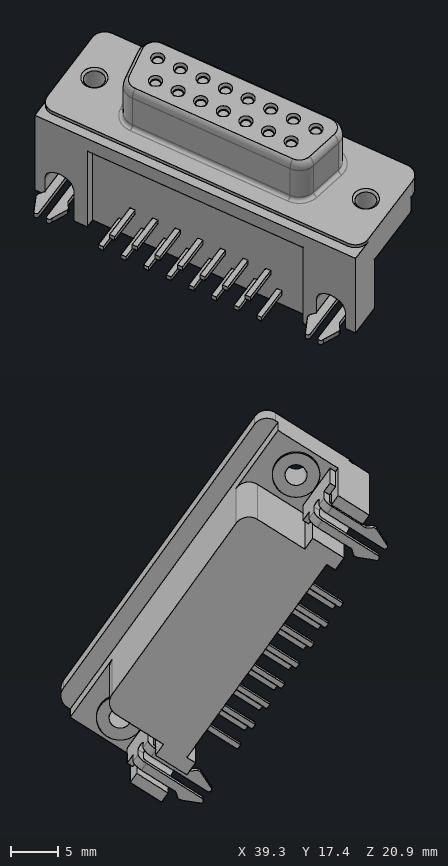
import cadquery as cq
import math


width = 39.3
flange_back = 13.6
flange_front = 1.05
flange_corner = 1.57
flange_thickness = 2.4
plate_step = 0.47
ledge_back = 11.67
ledge_bottom = -4.75
leg_depth = 4.0
leg_bottom = -12.75
body_bottom = -14.97
core_half_width = 13.35
core_corner = 1.65

recess_half_width = 13.2
recess_top = -2.5
recess_depth = 1.1

connector_y = (flange_front + flange_back) / 2
shell_height = 5.9
shell_depth = 7.9
shell_back_half_width = 12.7
shell_side_angle = 10.0
shell_corner = 1.95
shell_flare = 0.47
crown_radius = 1.3
crown_height = 1.05

back_contacts = 8
front_contacts = back_contacts - 1
back_row_span = 19.37
contact_pitch = back_row_span / (back_contacts - 1)
contact_row_gap = 2.83
contact_bore = 1.15
contact_mouth = 1.5
contact_mouth_depth = 0.4
contact_depth = 0.55

pin_size = 0.63
pin_reach = 3.2
upper_pin_z = -10.5
lower_pin_z = -12.95

mount_x = 16.62
mount_bore = 2.3
mount_chamfer = 0.28
boss_diameter = 5.05
boss_height = 0.35
leg_slot_radius = 1.75
leg_slot_center_z = -10.1
foot_half_width = mount_x - leg_slot_radius
sheet = 0.7
bend_inner_radius = 0.35
lock_bottom = -12.05
lock_half_width = 2.55
lock_shoulder_z = -9.1
tine_outer = 1.4
tine_inner = 0.47
barb_half_width = 1.93
barb_start = 0.65
barb_full_start = 1.35
barb_full_end = 1.65
tip_reach = 3.77
tip_half_thickness = 0.3


def block(x0, x1, y0, y1, z0, z1):
    """Axis-aligned box between two opposite corners."""
    return cq.Workplane("XY").box(x1 - x0, y1 - y0, z1 - z0, centered=False).translate((x0, y0, z0))


def row_positions(count):
    """X positions of one centred row of contacts."""
    return [(i - (count - 1) / 2) * contact_pitch for i in range(count)]


def make_housing():
    """Flange and ledge carrying the front wall, its two legs and the core behind it."""
    half = width / 2
    front = block(-half, half, 0, leg_depth, body_bottom, -plate_step)
    for x0, x1 in ((-half, -foot_half_width), (foot_half_width, half)):
        front = front.cut(block(x0, x1, 0, leg_depth, body_bottom, leg_bottom))
    ledge = block(-half, half, 0, ledge_back, ledge_bottom, -plate_step)
    core = (
        block(-core_half_width, core_half_width, 0, ledge_back, body_bottom, ledge_bottom)
        .edges("|Z and >Y")
        .fillet(core_corner)
    )
    flange = (
        block(-half, half, flange_front, flange_back, -flange_thickness, 0)
        .edges("|Z")
        .fillet(flange_corner)
    )
    recess = block(-recess_half_width, recess_half_width, 0, recess_depth, body_bottom, recess_top)
    return front.union(ledge).union(core).union(flange).cut(recess)


def make_shell():
    """D-shaped shell with a crown arc cut off by the flat top."""
    back = connector_y + shell_depth / 2
    front = connector_y - shell_depth / 2
    front_half_width = shell_back_half_width - shell_depth * math.tan(math.radians(shell_side_angle))
    full_crown = shell_height - crown_height + crown_radius
    shell = (
        cq.Workplane("XY")
        .polyline([
            (-shell_back_half_width, back),
            (shell_back_half_width, back),
            (front_half_width, front),
            (-front_half_width, front),
        ])
        .close()
        .extrude(full_crown)
        .edges("|Z")
        .fillet(shell_corner)
        .faces(">Z")
        .edges()
        .fillet(crown_radius)
    )
    half = width / 2
    return shell.cut(block(-half, half, 0, flange_back, shell_height, full_crown))


def add_flare(body):
    """Concave fillet where the shell meets the flange."""
    margin = shell_flare / 2
    root = cq.selectors.BoxSelector(
        (-shell_back_half_width, connector_y - shell_depth / 2 - margin, -margin),
        (shell_back_half_width, connector_y + shell_depth / 2 + margin, margin),
        boundingbox=True,
    )
    return body.edges(root).fillet(shell_flare)


def make_contact_sockets():
    """Shallow sockets with tapered mouths and flat floors in two staggered rows."""
    back_y = connector_y + contact_row_gap / 2
    front_y = connector_y - contact_row_gap / 2
    points = [(x, back_y) for x in row_positions(back_contacts)]
    points += [(x, front_y) for x in row_positions(front_contacts)]
    wall_angle = math.degrees(math.atan((contact_mouth - contact_bore) / 2 / contact_mouth_depth))
    mouths = (
        cq.Workplane("XY", origin=(0, 0, shell_height))
        .pushPoints(points)
        .circle(contact_mouth / 2)
        .extrude(-contact_mouth_depth, taper=wall_angle)
    )
    bores = (
        cq.Workplane("XY", origin=(0, 0, shell_height))
        .pushPoints(points)
        .circle(contact_bore / 2)
        .extrude(-contact_depth)
    )
    return mouths.union(bores)


def make_pins():
    """Square solder pins in two staggered rows, rooted behind the recess floor."""
    points = [(x, upper_pin_z) for x in row_positions(front_contacts)]
    points += [(x, lower_pin_z) for x in row_positions(back_contacts)]
    return (
        cq.Workplane("XZ", origin=(0, recess_depth + pin_size, 0))
        .pushPoints(points)
        .rect(pin_size, pin_size)
        .extrude(recess_depth + pin_size + pin_reach)
    )


def make_leg_slot(x):
    """Round-topped slot through a leg, open at the bottom."""
    arch = (
        cq.Workplane("XZ", origin=(x, 0, leg_slot_center_z))
        .circle(leg_slot_radius)
        .extrude(-leg_depth)
    )
    channel = block(
        x - leg_slot_radius, x + leg_slot_radius, 0, leg_depth, body_bottom, leg_slot_center_z
    )
    return arch.union(channel)


def make_tine(side):
    """Tall prism with the plan of one barbed tine; side is -1 for left or 1 for right."""
    tip_middle = tine_inner + tip_half_thickness
    rear = leg_depth + sheet
    tip_shoulder = tip_half_thickness - tip_reach
    return (
        cq.Workplane("XY", origin=(0, 0, lock_bottom))
        .moveTo(side * tine_inner, rear)
        .lineTo(side * tine_outer, rear)
        .lineTo(side * tine_outer, -barb_start)
        .lineTo(side * barb_half_width, -barb_full_start)
        .lineTo(side * barb_half_width, -barb_full_end)
        .lineTo(side * (tip_middle + tip_half_thickness), tip_shoulder)
        .threePointArc(
            (side * tip_middle, -tip_reach), (side * tine_inner, tip_shoulder)
        )
        .close()
        .extrude(ledge_bottom - lock_bottom)
    )


def make_board_lock(x):
    """Bent sheet: a plate behind the leg whose lower end turns forward into two tines."""
    rear = leg_depth + sheet
    tine_top = lock_bottom + sheet
    bend_z = tine_top + bend_inner_radius
    bend_y = leg_depth - bend_inner_radius
    outer = sheet + bend_inner_radius
    diagonal = math.sqrt(0.5)
    profile = (
        cq.Workplane("YZ", origin=(-barb_half_width, 0, 0))
        .moveTo(rear, ledge_bottom)
        .lineTo(rear, bend_z)
        .threePointArc(
            (bend_y + outer * diagonal, bend_z - outer * diagonal), (bend_y, lock_bottom)
        )
        .lineTo(-tip_reach, lock_bottom)
        .lineTo(-tip_reach, tine_top)
        .lineTo(bend_y, tine_top)
        .threePointArc(
            (bend_y + bend_inner_radius * diagonal, bend_z - bend_inner_radius * diagonal),
            (leg_depth, bend_z),
        )
        .lineTo(leg_depth, ledge_bottom)
        .close()
        .extrude(2 * barb_half_width)
    )
    slot_center_z = lock_shoulder_z - tine_inner
    slot_round = (
        cq.Workplane("XZ", origin=(0, leg_depth, slot_center_z))
        .circle(tine_inner)
        .extrude(-sheet)
    )
    bridge = block(
        -tine_inner, tine_inner, leg_depth, rear, slot_center_z, lock_shoulder_z
    ).cut(slot_round)
    shoulder = block(
        -lock_half_width, lock_half_width, leg_depth, rear, lock_shoulder_z, ledge_bottom
    )
    tines = make_tine(-1).union(make_tine(1)).intersect(profile)
    return tines.union(shoulder).union(bridge).translate((x, 0, 0))


def make_mount_boss(x):
    """Round collar under the ledge around a mounting hole."""
    return (
        cq.Workplane("XY", origin=(x, connector_y, ledge_bottom))
        .circle(boss_diameter / 2)
        .extrude(-boss_height)
    )


def make_mount_hole(x):
    """Through hole with a chamfered mouth."""
    bore = (
        cq.Workplane("XY", origin=(x, connector_y, 0))
        .circle(mount_bore / 2)
        .extrude(ledge_bottom - boss_height)
    )
    mouth = (
        cq.Workplane("XY", origin=(x, connector_y, 0))
        .circle(mount_bore / 2 + mount_chamfer)
        .extrude(-mount_chamfer, taper=45)
    )
    return bore.union(mouth)


result = add_flare(make_housing().union(make_shell()))
result = result.cut(make_contact_sockets()).union(make_pins())
for mount in (-mount_x, mount_x):
    result = result.cut(make_leg_slot(mount))
    result = result.union(make_board_lock(mount)).union(make_mount_boss(mount))
    result = result.cut(make_mount_hole(mount))